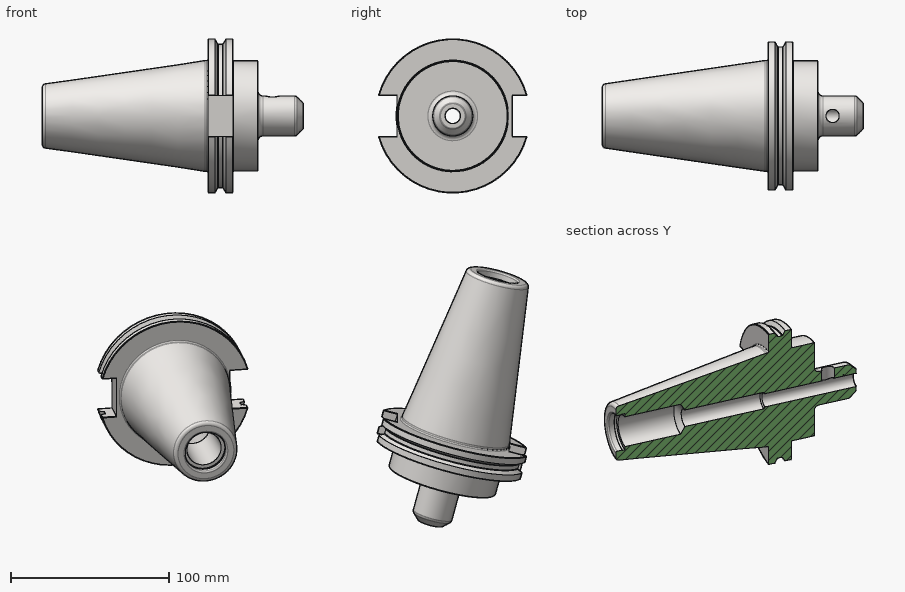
import cadquery as cq
import math


total_length = 165.12
taper_length = 101.6
small_end_x = -taper_length
tip_x = small_end_x + total_length
flange_front_x = 3.2
flange_rear_x = 19.1
body_end_x = 34.93

gauge_dia = 69.85
taper_ratio = 7 / 24
taper_top_dia = 70.2
body_dia = 69.85
small_end_fillet = 2.5
flange_front_root_fillet = 0.8
flange_rear_root_fillet = 0.4
body_end_chamfer = 0.5

flange_dia = 97.5
flange_chamfer = 0.45
slot_width = 25.7
slot_floor_plus_y = 37.7
slot_floor_minus_y = 35.3
groove_center_x = 11.1
groove_floor_dia = 91.0
groove_mouth_width = 7.0
groove_flank_angle = 30.0
groove_corner_fillet = 0.5

shank_dia = 25.4
shank_root_fillet = 3.0
tip_chamfer = 4.6
tip_shoulder_fillet = 2.3
tip_edge_fillet = 0.8

counterbore_dia = 26.2
counterbore_depth = 6.3
mouth_fillet = 1.0
relief_dia = 26.7
relief_width = 1.7
socket_dia = 21.97
socket_depth = 44.5
drill_dia = 12.0
drill_end_x = 0.0
coolant_dia = 9.53
drill_point_angle = 118.0

cross_hole_dia = 8.38
cross_hole_x = 44.1

tolerance = 0.001
cut_clearance = 1.0
quarter_arc_bow = 1 - math.sqrt(0.5)


def revolve_x(profile):
    """Turn a closed XY profile once around the X axis."""
    return profile.close().revolve(360, (0, 0, 0), (1, 0, 0))


def ring_edges(body, x, dia):
    """Select the circular edges of the given diameter at station x."""

    def on_ring(edge):
        return abs(edge.Center().x - x) < tolerance and abs(edge.radius() - dia / 2) < tolerance

    return body.edges("%CIRCLE").filter(on_ring)


def make_taper():
    small_end_dia = gauge_dia - taper_length * taper_ratio
    taper_top_x = (taper_top_dia - gauge_dia) / taper_ratio
    taper = revolve_x(
        cq.Workplane("XY")
        .moveTo(small_end_x, 0)
        .lineTo(small_end_x, small_end_dia / 2)
        .lineTo(taper_top_x, taper_top_dia / 2)
        .lineTo(flange_front_x, taper_top_dia / 2)
        .lineTo(flange_front_x, 0)
    )
    return ring_edges(taper, small_end_x, small_end_dia).fillet(small_end_fillet)


def make_body_and_shank():
    core = revolve_x(
        cq.Workplane("XY")
        .moveTo(flange_front_x, 0)
        .lineTo(flange_front_x, body_dia / 2)
        .lineTo(body_end_x, body_dia / 2)
        .lineTo(body_end_x, shank_dia / 2)
        .lineTo(tip_x - tip_chamfer, shank_dia / 2)
        .lineTo(tip_x, shank_dia / 2 - tip_chamfer)
        .lineTo(tip_x, 0)
    )
    core = ring_edges(core, body_end_x, body_dia).chamfer(body_end_chamfer)
    core = ring_edges(core, body_end_x, shank_dia).fillet(shank_root_fillet)
    core = ring_edges(core, tip_x - tip_chamfer, shank_dia).fillet(tip_shoulder_fillet)
    return ring_edges(core, tip_x, shank_dia - 2 * tip_chamfer).fillet(tip_edge_fillet)


def flange_root(face_x, outward, neighbour_dia, reach):
    """Concave ring blending a flange face into the round surface beside it."""
    r = neighbour_dia / 2
    bow = reach * quarter_arc_bow
    return revolve_x(
        cq.Workplane("XY")
        .moveTo(face_x, r - reach)
        .lineTo(face_x, r + reach)
        .threePointArc((face_x + outward * bow, r + bow), (face_x + outward * reach, r))
        .lineTo(face_x + outward * reach, r - reach)
    )


def make_flange():
    thickness = flange_rear_x - flange_front_x
    flange = cq.Workplane("YZ", origin=(flange_front_x, 0, 0)).circle(flange_dia / 2).extrude(thickness)

    for floor_y, side in ((slot_floor_plus_y, 1), (slot_floor_minus_y, -1)):
        slot_depth = flange_dia / 2 - floor_y
        slot_center_y = side * (floor_y + slot_depth / 2)
        slot = cq.Workplane("XY").box(thickness, slot_depth, slot_width)
        flange = flange.cut(slot.translate((flange_front_x + thickness / 2, slot_center_y, 0)))

    def is_broken(edge):
        center = edge.Center()
        on_floor = min(abs(center.y - slot_floor_plus_y), abs(center.y + slot_floor_minus_y)) < tolerance
        on_wall = abs(abs(center.z) - slot_width / 2) < tolerance
        return edge.geomType() == "CIRCLE" or (on_wall and not on_floor)

    flange = flange.edges().filter(is_broken).chamfer(flange_chamfer)
    return flange.cut(make_gripper_groove())


def make_gripper_groove():
    flank_slope = math.tan(math.radians(groove_flank_angle))
    floor_r = groove_floor_dia / 2
    half_mouth = groove_mouth_width / 2
    half_floor = half_mouth - (flange_dia / 2 - floor_r) * flank_slope
    clear_r = flange_dia / 2 + cut_clearance
    half_clear = half_mouth + cut_clearance * flank_slope
    groove = revolve_x(
        cq.Workplane("XY")
        .moveTo(groove_center_x - half_clear, clear_r)
        .lineTo(groove_center_x - half_floor, floor_r)
        .lineTo(groove_center_x + half_floor, floor_r)
        .lineTo(groove_center_x + half_clear, clear_r)
    )
    for side in (-1, 1):
        corner_x = groove_center_x + side * half_floor
        groove = ring_edges(groove, corner_x, groove_floor_dia).fillet(groove_corner_fillet)
    return groove


def make_bore():
    point_slope = 1 / math.tan(math.radians(drill_point_angle / 2))
    counterbore_floor_x = small_end_x + counterbore_depth
    socket_end_x = small_end_x + socket_depth
    socket_cone = (socket_dia - drill_dia) / 2 * point_slope
    drill_cone = (drill_dia - coolant_dia) / 2 * point_slope
    mouth_r = counterbore_dia / 2 + mouth_fillet
    bow = mouth_fillet * quarter_arc_bow
    return revolve_x(
        cq.Workplane("XY")
        .moveTo(small_end_x, 0)
        .lineTo(small_end_x, mouth_r)
        .threePointArc(
            (small_end_x + bow, counterbore_dia / 2 + bow),
            (small_end_x + mouth_fillet, counterbore_dia / 2),
        )
        .lineTo(counterbore_floor_x - relief_width, counterbore_dia / 2)
        .lineTo(counterbore_floor_x - relief_width, relief_dia / 2)
        .lineTo(counterbore_floor_x, relief_dia / 2)
        .lineTo(counterbore_floor_x, socket_dia / 2)
        .lineTo(socket_end_x, socket_dia / 2)
        .lineTo(socket_end_x + socket_cone, drill_dia / 2)
        .lineTo(drill_end_x, drill_dia / 2)
        .lineTo(drill_end_x + drill_cone, coolant_dia / 2)
        .lineTo(tip_x, coolant_dia / 2)
        .lineTo(tip_x, 0)
    )


def make_cross_hole():
    hole = cq.Workplane("XY").center(cross_hole_x, 0).circle(cross_hole_dia / 2)
    return hole.extrude(shank_dia)


result = (
    make_taper()
    .union(make_body_and_shank())
    .union(make_flange())
    .union(flange_root(flange_front_x, -1, taper_top_dia, flange_front_root_fillet))
    .union(flange_root(flange_rear_x, 1, body_dia, flange_rear_root_fillet))
    .cut(make_bore())
    .cut(make_cross_hole())
)